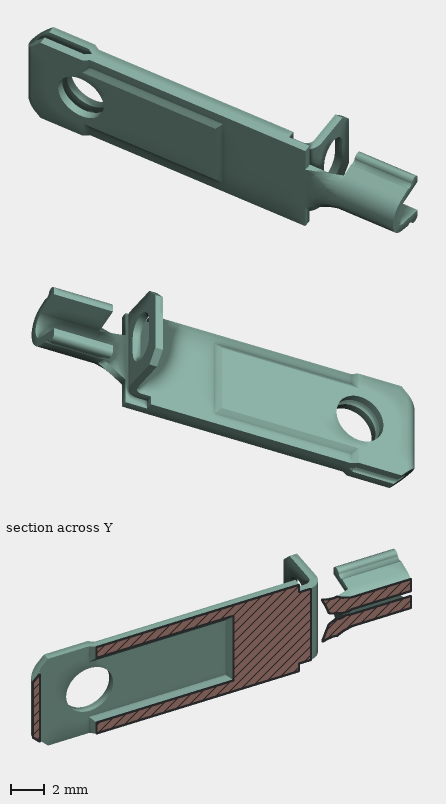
import cadquery as cq
import math

TOTAL_LENGTH = 25.4
SHEET = 0.5
GAP = 0.5
WIDTH = 6.43
FOLD_RADIUS = SHEET + GAP / 2
MID_Y = FOLD_RADIUS
FOLD_CHAMFER = 1.17

STEP = GAP / 2
SLOPE_RUN = 0.38
HEAD_END = 4.06
PAD_END = 13.25
PAD_WIDTH = 4.35
SLOPE_ANGLE = math.degrees(math.atan2(SLOPE_RUN, STEP))
INNER_SHIFT = SHEET * math.tan(math.atan2(STEP, SLOPE_RUN) / 2)

HOLE_X = 3.95
HOLE_DIAMETER = 3.15

FRONT_END = 19.33
NARROW_START = 17.9

TAB_WIDTH = 5.3
TAB_FACE_X = 19.55
TAB_TOP_Y = 5.0
TAB_CHAMFER = 0.75
BEND_INNER_RADIUS = 0.5
BEND_OUTER_RADIUS = BEND_INNER_RADIUS + SHEET
SLOT_Y = 3.15
SLOT_LENGTH = 3.2
SLOT_WIDTH = 2.1

NECK_WIDTH = 3.23
BARREL_START = 21.45
BARREL_RADIUS = 1.4
BARREL_BOTTOM_Y = MID_Y - SHEET
BARREL_AXIS_Y = BARREL_BOTTOM_Y + BARREL_RADIUS
WING_FLARE = math.radians(16.5)
RIDGE_Y = 2.0
GROOVE_Y = 2.15
GROOVE_Z = 1.511
GROOVE_RADIUS = 0.4
WING_TOP_Y = 3.15
BEAD_RADIUS = 0.35
BEAD_Z = 1.55
BEAD_START_Z = 1.65
WING_INNER_Z = 1.22


def block(x_start, x_end, y_start, y_end, width):
    """Box between two X and two Y positions, centred across the width."""
    size_x = x_end - x_start
    size_y = y_end - y_start
    return cq.Workplane("XY").box(size_x, size_y, width).translate(
        (x_start + size_x / 2, y_start + size_y / 2, 0)
    )


def bulge(base, shift):
    """Raised head and pad on both sides of the mid plane, starting `base` away from it."""
    head_end = HEAD_END - shift
    pad_length = PAD_END - shift + SLOPE_RUN - FOLD_RADIUS
    pad_width = PAD_WIDTH + 2 * (SLOPE_RUN - shift)
    top = base + STEP
    head = (
        cq.Workplane("XY")
        .polyline([
            (FOLD_RADIUS, base),
            (head_end + SLOPE_RUN, base),
            (head_end, top),
            (FOLD_RADIUS, top),
        ])
        .close()
        .extrude(WIDTH / 2, both=True)
    )
    pad = (
        cq.Workplane("XZ", origin=(FOLD_RADIUS + pad_length / 2, base, 0))
        .rect(pad_length, pad_width)
        .extrude(-STEP, taper=SLOPE_ANGLE)
    )
    one_side = head.union(pad)
    return one_side.union(one_side.mirror("XZ")).translate((0, MID_Y, 0))


def fold_cylinder(radius):
    """Cylinder about the fold axis, across the full width."""
    return cq.Workplane("XY").center(FOLD_RADIUS, MID_Y).circle(radius).extrude(WIDTH / 2, both=True)


def doubled_strip():
    """Both layers with the fold, the embossing, the cut corners and the round hole."""
    front = block(FOLD_RADIUS, FRONT_END, MID_Y - SHEET, MID_Y, WIDTH)
    back = block(FOLD_RADIUS, NARROW_START, MID_Y, MID_Y + SHEET, WIDTH)
    strip = front.union(back).union(bulge(SHEET, 0)).union(fold_cylinder(FOLD_RADIUS))
    strip = strip.cut(bulge(0, INNER_SHIFT)).cut(fold_cylinder(GAP / 2))
    for side in (1, -1):
        corner = (
            cq.Workplane("XZ")
            .polyline([
                (0, side * (WIDTH / 2 - FOLD_CHAMFER)),
                (0, side * WIDTH / 2),
                (FOLD_CHAMFER, side * WIDTH / 2),
            ])
            .close()
            .extrude(-2 * MID_Y)
        )
        strip = strip.cut(corner)
    hole = cq.Workplane("XZ").center(HOLE_X, 0).circle(HOLE_DIAMETER / 2).extrude(-2 * MID_Y)
    return strip.cut(hole)


def upright_tab():
    """Narrowed end of the back layer, bent up into a slotted tab."""
    inner_x = TAB_FACE_X - SHEET
    tab = (
        cq.Workplane("XY")
        .moveTo(NARROW_START, MID_Y)
        .lineTo(TAB_FACE_X - BEND_OUTER_RADIUS, MID_Y)
        .radiusArc((TAB_FACE_X, MID_Y + BEND_OUTER_RADIUS), -BEND_OUTER_RADIUS)
        .lineTo(TAB_FACE_X, TAB_TOP_Y)
        .lineTo(inner_x, TAB_TOP_Y)
        .lineTo(inner_x, MID_Y + SHEET + BEND_INNER_RADIUS)
        .radiusArc((inner_x - BEND_INNER_RADIUS, MID_Y + SHEET), BEND_INNER_RADIUS)
        .lineTo(NARROW_START, MID_Y + SHEET)
        .close()
        .extrude(TAB_WIDTH / 2, both=True)
        .faces(">Y")
        .edges("|X")
        .chamfer(TAB_CHAMFER)
    )
    slot = (
        cq.Workplane("YZ", origin=(inner_x, SLOT_Y, 0))
        .slot2D(SLOT_LENGTH, SLOT_WIDTH, 90)
        .extrude(SHEET)
    )
    return tab.cut(slot)


def trough_end(radius):
    """Y, Z of the point where the round trough of a given radius meets the flared wing."""
    return (BARREL_AXIS_Y - radius * math.sin(WING_FLARE), radius * math.cos(WING_FLARE))


def opposite(point):
    """Same point on the other side of Z = 0."""
    return (point[0], -point[1])


INNER_RADIUS = BARREL_RADIUS - SHEET
OUTER_BOTTOM = (BARREL_BOTTOM_Y, 0)
INNER_BOTTOM = (BARREL_BOTTOM_Y + SHEET, 0)
OUTER_END = trough_end(BARREL_RADIUS)
INNER_END = trough_end(INNER_RADIUS)


def neck():
    """Neck that curls from the flat front layer up into the round trough of the barrel."""
    return (
        cq.Workplane("YZ", origin=(FRONT_END, 0, 0))
        .moveTo(BARREL_BOTTOM_Y, -NECK_WIDTH / 2)
        .lineTo(BARREL_BOTTOM_Y, NECK_WIDTH / 2)
        .lineTo(MID_Y, NECK_WIDTH / 2)
        .lineTo(MID_Y, -NECK_WIDTH / 2)
        .close()
        .workplane(offset=BARREL_START - FRONT_END)
        .moveTo(*opposite(OUTER_END))
        .threePointArc(OUTER_BOTTOM, OUTER_END)
        .lineTo(*INNER_END)
        .threePointArc(INNER_BOTTOM, opposite(INNER_END))
        .close()
        .loft(ruled=True)
    )


def barrel():
    """Open U-shaped barrel with flared wings, a groove and a bead along each wing tip."""
    bead_y = WING_TOP_Y - BEAD_RADIUS
    bead_start_y = bead_y - math.sqrt(BEAD_RADIUS**2 - (BEAD_START_Z - BEAD_Z) ** 2)
    ridge = (RIDGE_Y, OUTER_END[1] + (RIDGE_Y - OUTER_END[0]) * math.tan(WING_FLARE))
    groove = (GROOVE_Y, GROOVE_Z)
    bead_start = (bead_start_y, BEAD_START_Z)
    bead_side = (bead_y, BEAD_Z + BEAD_RADIUS)
    bead_top = (WING_TOP_Y, BEAD_Z)
    tip = (WING_TOP_Y, WING_INNER_Z)
    return (
        cq.Workplane("YZ", origin=(BARREL_START, 0, 0))
        .moveTo(*opposite(OUTER_END))
        .threePointArc(OUTER_BOTTOM, OUTER_END)
        .lineTo(*ridge)
        .lineTo(*groove)
        .radiusArc(bead_start, -GROOVE_RADIUS)
        .threePointArc(bead_side, bead_top)
        .lineTo(*tip)
        .lineTo(*INNER_END)
        .threePointArc(INNER_BOTTOM, opposite(INNER_END))
        .lineTo(*opposite(tip))
        .lineTo(*opposite(bead_top))
        .threePointArc(opposite(bead_side), opposite(bead_start))
        .radiusArc(opposite(groove), -GROOVE_RADIUS)
        .lineTo(*opposite(ridge))
        .close()
        .extrude(TOTAL_LENGTH - BARREL_START)
    )


result = doubled_strip().union(upright_tab()).union(neck()).union(barrel())